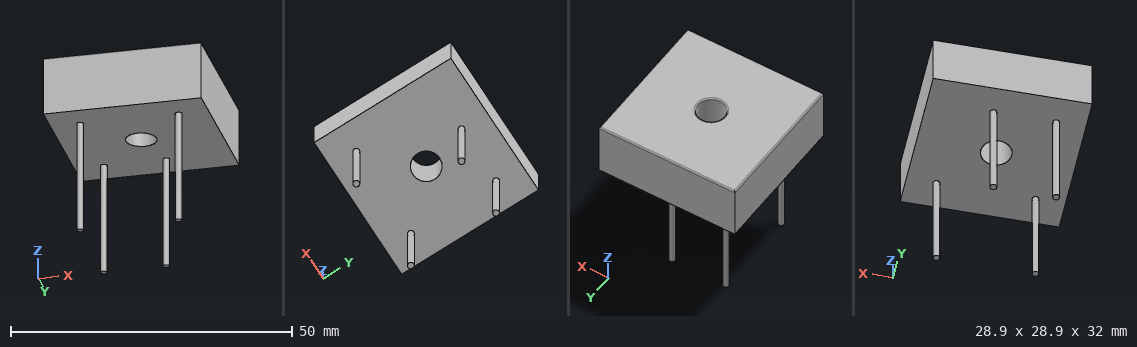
import cadquery as cq

body_side = 28.9
body_height = 11.0
total_height = 32
edge_radius = 0.3
hole_diameter = 5.6
hole_edge_radius = 0.3

lead_diameter = 1.2
lead_offset = 9.0
shifted_lead_x = 2.4
lead_length = total_height - body_height
lead_positions = [
    (-lead_offset, -lead_offset),
    (lead_offset, -lead_offset),
    (-lead_offset, lead_offset),
    (shifted_lead_x, lead_offset),
]


def make_body():
    """Block standing on Z = 0, with its top rim and hole mouth rounded."""
    block = cq.Workplane("XY").box(body_side, body_side, body_height, centered=(True, True, False))
    block = block.faces(">Z").fillet(edge_radius)
    block = block.faces(">Z").workplane().hole(hole_diameter)
    return block.faces(">Z").edges("%CIRCLE").fillet(hole_edge_radius)


def make_leads():
    """Round leads hanging from the underside of the body."""
    return cq.Workplane("XY").pushPoints(lead_positions).circle(lead_diameter / 2).extrude(-lead_length)


result = make_body().union(make_leads())